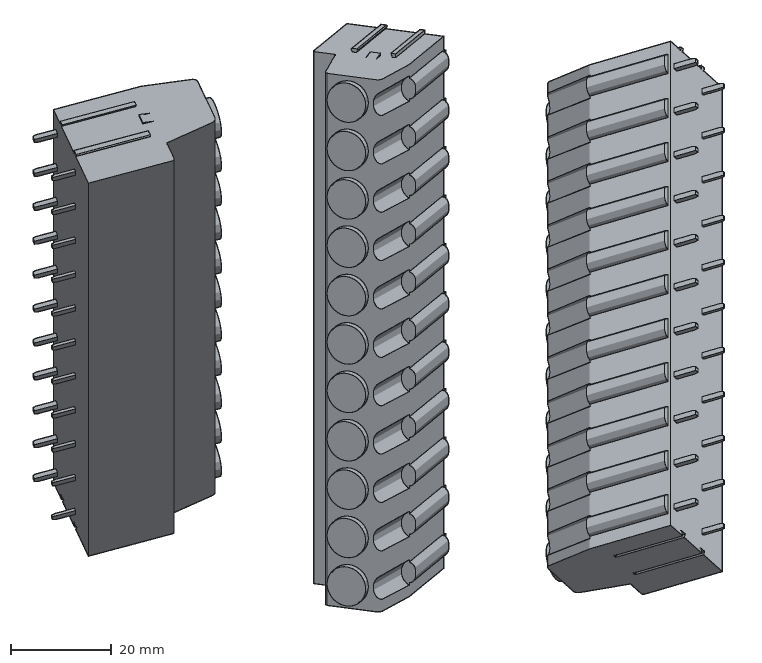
import cadquery as cq
import math

pole_count = 11
body_width = 20.7
body_depth = 29.5
overall_height = 112.5
body_height = 111.7
pitch = body_height / pole_count
shoulder_y = 18.2
shoulder_x = 15.9
slope_start_y = 18.5
crown_left = 1.8
crown_right = 13.6
crown_fillet = 1.1
shoulder_fillet = 0.6

screw_diameter = 8.2
screw_height = 1.5
screw_x = 8.4

pins = [(1.9, 1.1), (12.8, 0.7)]
pin_thickness = 1.1
pin_length = 4.8
pin_tip_length = 0.7
pin_tip_inset = 0.1

rib_height = 4.4
rib_flat = 1.0
rib_depth = 1.4
rib_start_y = 0.7

scallop_width = 5.3
scallop_depth = 1.7
scallop_crown_depth = 1.5

tab_length = 15.6
groove_depth = 1.0
groove_wide = 1.6
groove_narrow = 0.7
left_groove_x = 5.1
right_groove_x = 12.8
left_tab_x = 4.0
left_tab_wide = 1.0
left_tab_narrow = 0.7
right_tab_wide = 1.6
right_tab_narrow = 0.8
right_tab_bevel = 0.2

latch_x = 8.4
latch_size = 2.3
latch_y = 15.4
latch_height = 0.5


def make_body():
    block = (
        cq.Workplane("XY")
        .polyline([
            (0, 0),
            (body_width, 0),
            (body_width, shoulder_y),
            (shoulder_x, shoulder_y),
            (crown_right, body_depth),
            (crown_left, body_depth),
            (0, slope_start_y),
        ])
        .close()
        .extrude(body_height)
    )
    rounded_crown = block.faces(">Y").edges("|Z").fillet(crown_fillet)
    return rounded_crown.faces(">X").edges(">Y").fillet(shoulder_fillet)


def make_screw():
    return (
        cq.Workplane("XZ", origin=(screw_x, body_depth, 0))
        .circle(screw_diameter / 2)
        .extrude(-screw_height)
    )


def make_pin(centre_x, width):
    shank_length = pin_length - pin_tip_length
    shank = cq.Workplane("XZ", origin=(centre_x, 0, 0)).rect(width, pin_thickness).extrude(shank_length)
    tip = (
        cq.Workplane("XZ", origin=(centre_x, -shank_length, 0))
        .rect(width, pin_thickness)
        .workplane(offset=pin_tip_length)
        .rect(width - 2 * pin_tip_inset, pin_thickness - 2 * pin_tip_inset)
        .loft()
    )
    return shank.union(tip)


def make_rib():
    half_height = rib_height / 2
    half_flat = rib_flat / 2
    run = half_height - half_flat
    radius = (run ** 2 + rib_depth ** 2) / (2 * rib_depth)
    return (
        cq.Workplane("XZ", origin=(0, rib_start_y, 0))
        .moveTo(0, -half_height)
        .radiusArc((-rib_depth, -half_flat), radius)
        .lineTo(-rib_depth, half_flat)
        .radiusArc((0, half_height), radius)
        .close()
        .extrude(-(slope_start_y - rib_start_y))
    )


def make_scallop_cutter():
    radius = (scallop_width ** 2 / 4 + scallop_depth ** 2) / (2 * scallop_depth)
    floor_shift = crown_left + scallop_crown_depth - scallop_depth
    floor_angle = math.degrees(math.atan2(floor_shift, body_depth - slope_start_y))
    cylinder = (
        cq.Workplane("XZ", origin=(scallop_depth - radius, -body_depth, 0))
        .circle(radius)
        .extrude(-2 * body_depth)
        .rotate((0, 0, 0), (0, 0, 1), -floor_angle)
        .translate((0, slope_start_y, 0))
    )
    above_ribs = (
        cq.Workplane("XY")
        .box(4 * radius, body_depth, 4 * radius, centered=(True, False, True))
        .translate((0, slope_start_y, 0))
    )
    return cylinder.intersect(above_ribs)


def extrude_along_base(points):
    return cq.Workplane("XZ").polyline(points).close().extrude(-tab_length)


def make_groove(centre_x):
    return extrude_along_base([
        (centre_x - groove_narrow / 2, 0),
        (centre_x + groove_narrow / 2, 0),
        (centre_x + groove_wide / 2, groove_depth),
        (centre_x - groove_wide / 2, groove_depth),
    ])


def make_tabs():
    left = extrude_along_base([
        (left_tab_x, body_height),
        (left_tab_x + left_tab_narrow, body_height),
        (left_tab_x + left_tab_wide, overall_height),
        (left_tab_x, overall_height),
    ])
    right = extrude_along_base([
        (right_groove_x - right_tab_narrow / 2, body_height),
        (right_groove_x + right_tab_narrow / 2, body_height),
        (right_groove_x + right_tab_wide / 2, overall_height - right_tab_bevel),
        (right_groove_x + right_tab_wide / 2 - right_tab_bevel, overall_height),
        (right_groove_x - right_tab_wide / 2 + right_tab_bevel, overall_height),
        (right_groove_x - right_tab_wide / 2, overall_height - right_tab_bevel),
    ])
    return left.union(right)


def make_latch():
    return (
        cq.Workplane("YZ", origin=(latch_x - latch_size / 2, latch_y, body_height))
        .polyline([(0, 0), (latch_size, 0), (0, latch_height)])
        .close()
        .extrude(latch_size)
    )


result = make_body().union(make_tabs()).union(make_latch())
for groove_x in (left_groove_x, right_groove_x):
    result = result.cut(make_groove(groove_x))

screw = make_screw()
rib = make_rib()
scallop_cutter = make_scallop_cutter()
for pole in range(pole_count):
    lift = (0, 0, (pole + 0.5) * pitch)
    result = result.cut(scallop_cutter.translate(lift))
    result = result.union(rib.translate(lift)).union(screw.translate(lift))
    for pin_x, pin_width in pins:
        result = result.union(make_pin(pin_x, pin_width).translate(lift))